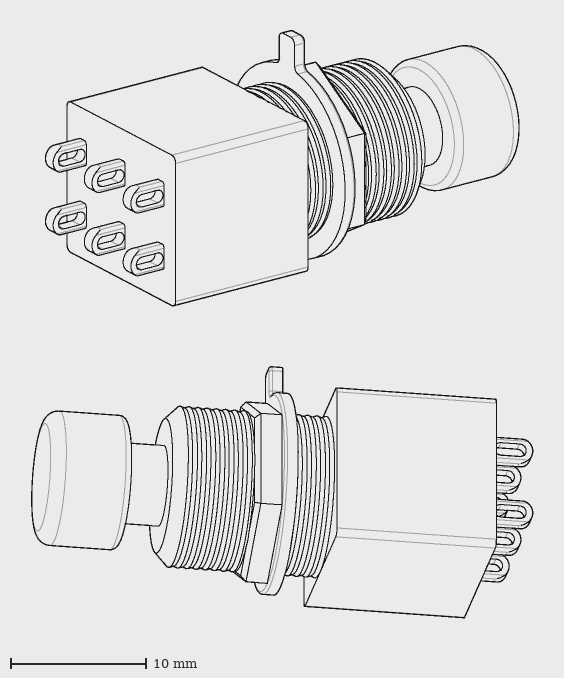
import cadquery as cq
import math


BODY_WIDTH = 14.0
BODY_HEIGHT = 12.0
BODY_LENGTH = 12.0
BODY_EDGE_RADIUS = 0.5

THREAD_DIAMETER = 12.0
THREAD_LENGTH = 11.0
THREAD_TURNS = 16
THREAD_DEPTH = 0.12
BUSHING_CHAMFER = 1.0
BUSHING_LENGTH = THREAD_LENGTH + BUSHING_CHAMFER

WASHER_START = 3.0
WASHER_THICKNESS = 1.0
WASHER_DIAMETER = 15.0
WASHER_EDGE_RADIUS = 0.2
TAB_WIDTH = 2.0
TAB_TOP = 10.0
TAB_CORNER_RADIUS = 0.5
TAB_ROOT_RADIUS = 0.5

NUT_START = WASHER_START + WASHER_THICKNESS
NUT_THICKNESS = 2.0
NUT_ACROSS_FLATS = 12.6
NUT_CHAMFER = 0.4

STEM_DIAMETER = 6.0
STEM_LENGTH = 3.0
CAP_DIAMETER = 10.0
CAP_LENGTH = 6.0
CAP_FRONT_RADIUS = 1.0
CAP_REAR_RADIUS = 0.5

TERMINAL_COLUMNS = 3
TERMINAL_ROWS = 2
TERMINAL_PITCH = 5.0
TERMINAL_THICKNESS = 1.0
TERMINAL_HEIGHT = 2.0
TERMINAL_LENGTH = 3.0
TERMINAL_EDGE_RADIUS = 0.25
EYE_LENGTH = 2.4
EYE_GAP = 0.1
EYE_HEIGHT = 1.0


def plane_at(y):
    """Plane across the switch axis: local x is -X, local y is +Z, normal is +Y."""
    return cq.Plane(origin=(0, y, 0), xDir=(-1, 0, 0), normal=(0, 1, 0))


def make_body():
    body = cq.Workplane("XY").box(BODY_WIDTH, BODY_LENGTH, BODY_HEIGHT)
    body = body.edges("|Y").fillet(BODY_EDGE_RADIUS)
    return body.translate((0, -BODY_LENGTH / 2, 0))


def make_bushing():
    """Revolved bushing whose thread is modelled as a stack of V-shaped rings."""
    crest = THREAD_DIAMETER / 2
    root = crest - THREAD_DEPTH
    pitch = THREAD_LENGTH / THREAD_TURNS
    profile = cq.Workplane("XY").lineTo(crest, 0)
    for turn in range(THREAD_TURNS):
        profile = profile.lineTo(root, (turn + 0.5) * pitch)
        profile = profile.lineTo(crest, (turn + 1) * pitch)
    profile = profile.lineTo(crest - BUSHING_CHAMFER, BUSHING_LENGTH)
    profile = profile.lineTo(0, BUSHING_LENGTH).close()
    return profile.revolve(360, (0, 0, 0), (0, 1, 0))


def make_washer():
    plane = plane_at(WASHER_START)
    disc = cq.Workplane(plane).circle(WASHER_DIAMETER / 2).extrude(WASHER_THICKNESS)
    tab = cq.Workplane(plane).center(0, TAB_TOP / 2).rect(TAB_WIDTH, TAB_TOP).extrude(WASHER_THICKNESS)
    tab = tab.edges("|Y and >Z").fillet(TAB_CORNER_RADIUS)
    washer = disc.union(tab)

    root_height = math.sqrt((WASHER_DIAMETER / 2) ** 2 - (TAB_WIDTH / 2) ** 2)
    for side in (-1, 1):
        root_point = (side * TAB_WIDTH / 2, WASHER_START + WASHER_THICKNESS / 2, root_height)
        washer = washer.edges("|Y").edges(cq.NearestToPointSelector(root_point)).fillet(TAB_ROOT_RADIUS)
    return washer.faces(">Y").edges().fillet(WASHER_EDGE_RADIUS)


def make_nut():
    """Hexagon with corners at top and bottom and a bevel around its outer face."""
    across_corners = NUT_ACROSS_FLATS / math.cos(math.pi / 6)
    nut = cq.Workplane(plane_at(NUT_START)).transformed(rotate=(0, 0, 90))
    nut = nut.polygon(6, across_corners).extrude(NUT_THICKNESS)
    return nut.faces(">Y").chamfer(NUT_CHAMFER)


def make_plunger():
    stem = cq.Workplane(plane_at(BUSHING_LENGTH)).circle(STEM_DIAMETER / 2).extrude(STEM_LENGTH)
    cap = cq.Workplane(plane_at(BUSHING_LENGTH + STEM_LENGTH)).circle(CAP_DIAMETER / 2).extrude(CAP_LENGTH)
    cap = cap.faces(">Y").edges().fillet(CAP_FRONT_RADIUS)
    cap = cap.faces("<Y").edges().fillet(CAP_REAR_RADIUS)
    return stem.union(cap)


def make_terminal():
    """Flat tag, rounded at its free end, with softened long edges and an elongated eye."""
    end_radius = TERMINAL_HEIGHT / 2
    straight = TERMINAL_LENGTH - end_radius
    blade = (
        cq.Workplane("YZ")
        .moveTo(0, -end_radius)
        .lineTo(-straight, -end_radius)
        .threePointArc((-TERMINAL_LENGTH, 0), (-straight, end_radius))
        .lineTo(0, end_radius)
        .close()
        .extrude(TERMINAL_THICKNESS / 2, both=True)
    )
    bar = cq.Workplane("XY").box(TERMINAL_THICKNESS, TERMINAL_LENGTH, TERMINAL_HEIGHT)
    bar = bar.edges("|Y").fillet(TERMINAL_EDGE_RADIUS).translate((0, -TERMINAL_LENGTH / 2, 0))
    eye = cq.Workplane("YZ").center(-EYE_GAP - EYE_LENGTH / 2, 0).slot2D(EYE_LENGTH, EYE_HEIGHT)
    return blade.intersect(bar).cut(eye.extrude(TERMINAL_THICKNESS, both=True))


def make_switch():
    switch = make_body()
    for component in (make_bushing(), make_washer(), make_nut(), make_plunger()):
        switch = switch.union(component)
    terminal = make_terminal()
    for column in range(TERMINAL_COLUMNS):
        for row in range(TERMINAL_ROWS):
            x = (column - (TERMINAL_COLUMNS - 1) / 2) * TERMINAL_PITCH
            z = (row - (TERMINAL_ROWS - 1) / 2) * TERMINAL_PITCH
            switch = switch.union(terminal.translate((x, -BODY_LENGTH, z)))
    return switch


result = make_switch()